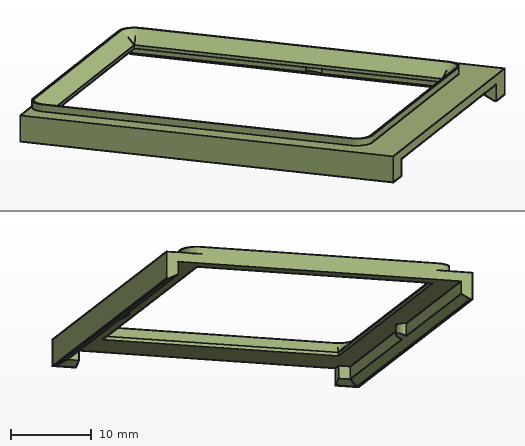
import cadquery as cq
import math

length = 49.35
width = 39.6
height = 4.3

lip_height = 0.9
plate_thickness = 1.2
plate_top = height - lip_height
plate_bottom = plate_top - plate_thickness

window_length = 40.75
window_width = 30.5
rim_width = 0.2
surround_width = 1.85
surround_depth = 1.65
lip_border = rim_width + surround_width
lip_length = window_length + 2 * lip_border
lip_width = window_width + 2 * lip_border
surround_angle = math.degrees(math.atan2(surround_width, surround_depth))
window_center_x = lip_length / 2

wall_thickness = 1.5
end_tab_width = 3.0
foot_land = 0.3
foot_rise = 0.6
foot_angle = math.degrees(math.atan2(foot_rise, wall_thickness - foot_land))
open_end_overrun = 10.0

bump_radius = 1.0
bump_x = length / 2


def box(x_min, x_max, y_size, z_min, z_max):
    """Block centred on Y, between the given X and Z limits."""
    return (
        cq.Workplane("XY", origin=((x_min + x_max) / 2, 0, z_min))
        .rect(x_max - x_min, y_size)
        .extrude(z_max - z_min)
    )


def make_body():
    """Outer block with the rounded lip standing on the plate, flush with the open end."""
    block = box(0, length, width, 0, plate_top)
    lip = box(0, lip_length, lip_width, plate_bottom, height).edges("|Z").fillet(lip_border)
    return block.union(lip)


def make_window():
    """Through opening whose sides flare upward from sharp to rounded corners."""
    opening = box(lip_border, lip_border + window_length, window_width, 0, height)
    flare_length = window_length + 2 * surround_width
    flare_width = window_width + 2 * surround_width
    flare = (
        cq.Workplane("XY", origin=(window_center_x, 0, height))
        .sketch()
        .rect(flare_length, flare_width)
        .vertices()
        .fillet(surround_width)
        .finalize()
        .extrude(-surround_depth, taper=surround_angle)
    )
    return opening.union(flare)


def make_cavity():
    """Space under the plate, open at X = 0, with the half-round bumps left standing."""
    cavity_width = width - 2 * wall_thickness
    cavity = box(0, length - wall_thickness, cavity_width, 0, plate_bottom)
    bumps = (
        cq.Workplane("XY")
        .pushPoints([(bump_x, side * cavity_width / 2) for side in (-1, 1)])
        .circle(bump_radius)
        .extrude(plate_bottom)
    )
    return cavity.cut(bumps)


def make_end_gap():
    """Gap in the closed-end wall, leaving a tab at each corner."""
    return box(length / 2, length, width - 2 * end_tab_width, 0, plate_bottom)


def make_foot_bevel():
    """Shallow pyramid that slopes the wall feet upward, leaving a narrow flat outer rim."""
    bevel_depth = end_tab_width
    bevel_height = bevel_depth * math.tan(math.radians(foot_angle))
    x_min = -open_end_overrun
    x_max = length - foot_land
    return (
        cq.Workplane("XY", origin=((x_min + x_max) / 2, 0, 0))
        .rect(x_max - x_min, width - 2 * foot_land)
        .extrude(bevel_height, taper=90 - foot_angle)
    )


result = make_body()
for cutter in (make_window(), make_cavity(), make_end_gap(), make_foot_bevel()):
    result = result.cut(cutter)